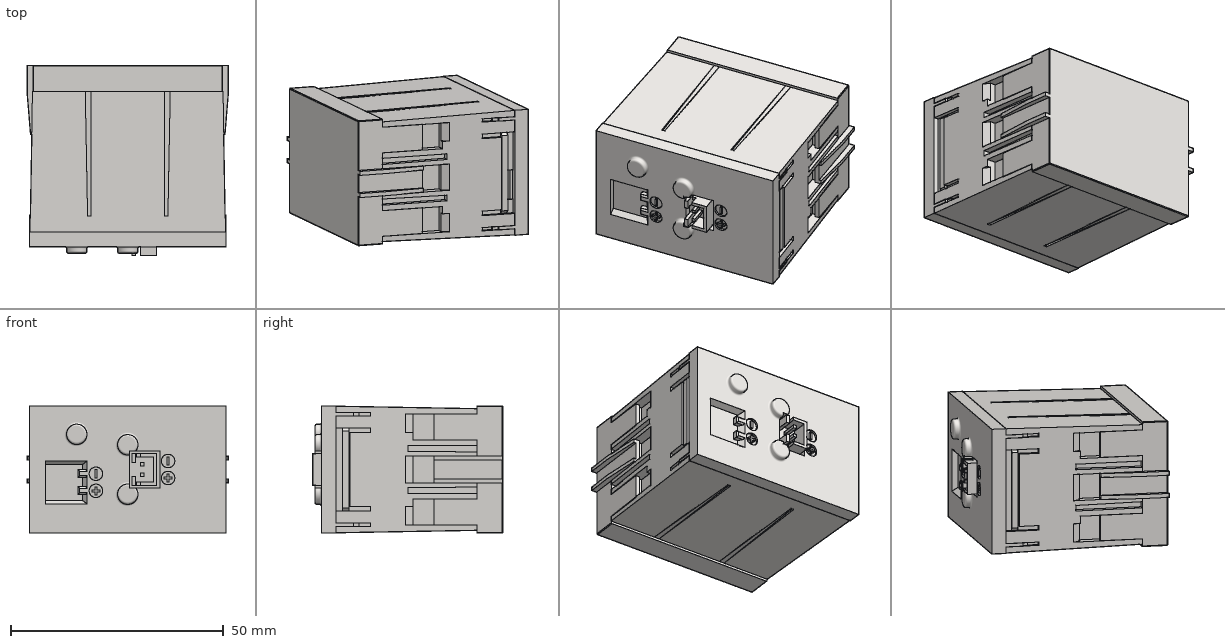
import cadquery as cq
import math


BODY_HEIGHT = 29.95
PLATE_WIDTH = 46.3
PLATE_THICKNESS = 3.45
BEZEL_END = 42.7
BEZEL_START = 36.55
BEZEL_WIDTH = 44.7
BEZEL_EDGE = 0.2
DRAFT = math.tan(math.radians(1.0))
BODY_FRONT_WIDTH = 46.0
BODY_FRONT_HEIGHT = 29.84
CONNECTOR_TIP = -2.1
OUTSIDE = 25.0

BEZEL_X = BEZEL_WIDTH / 2
BODY_TAPER = 2 * DRAFT * (BEZEL_START - PLATE_THICKNESS)
BODY_REAR_WIDTH = BODY_FRONT_WIDTH - BODY_TAPER
BODY_REAR_HEIGHT = BODY_FRONT_HEIGHT - BODY_TAPER

TONGUE_END = 26.46
WINDOW_FLOOR_END = 21.5
WINDOW_END = 19.8
WINDOW_FLOOR_X = 20.2
RAMP_FOOT_X = 21.65
TONGUE_THICKNESS = 1.1
TONGUE_UNDERCUT = 0.75
CENTRE_WINDOW_Z = 3.13
OUTER_WINDOW_Z = (6.92, 13.07)
OUTER_RAMP_Z = 8.67
RAIL_WIDTH = 0.95
RAIL_X = 23.7
RAIL_TIP_X = 22.9
RAIL_BEND_Y = 36.2
SLIT_Z = (4.13, 5.62)
SLIT_TIP_Z = 4.28
SLIT_END = 20.37
SLIT_FLOOR_X = 20.95

SNAP_FLOOR_X = 21.85
SNAP_REAR = 6.68
SNAP_HALF_Z = 9.77
SNAP_BAR_Y = (5.0, 6.5)
SNAP_BAR_X = 22.6
SNAP_BAR_SLOPE = 0.75
SNAP_SLOT_END = 11.5
INNER_SLOT_Z = 8.67
OUTER_SLOT_Z = (12.63, 13.42)
OUTER_SLOT_STEP_Y = 8.8
OUTER_SLOT_STEP_X = 22.5
KEY_END = 7.48
OPENING_Z = (-6.54, 0.49)
OPENING_RAMP_Y = (4.07, 4.8)
OPENING_STEP = 0.2
OPENING_DEPTH = 1.2

GROOVE_INNER_X = 8.67
GROOVE_WIDE_X = 10.0
GROOVE_NARROW_X = 9.45
GROOVE_END = 7.19

BUTTON_CENTRES = [(-12.0, 8.27), (0.0, 5.82), (0.0, -5.82)]
BUTTON_RADIUS = 2.4
BUTTON_HEIGHT = 1.55
BUTTON_FOOT = 0.45
BUTTON_ROUND = 0.5

POCKET_MOUTH = (-19.34, -9.56, -8.12, 2.03)
POCKET_FLOOR = (-19.34, -10.6, -7.3, 1.2)
POCKET_DEPTH = 1.5
CONTACT_X = (-11.73, -9.56)
CONTACT_HEIGHT = 1.82
CONTACT_BEVEL = 0.4
CONTACT_Z = [-0.93, -4.96]

SOCKET_PIT_X = (0.44, 7.55)
SOCKET_PIT_HALF_Z = 4.32
SOCKET_DEPTH = 1.8
SOCKET_X = (2.95, 6.8)
SOCKET_HALF_Z = 3.72
SOCKET_WALL = 0.78
LUG_X = (1.0, 1.86)
LUG_LENGTH = 2.1
SHELF_X = 2.1
PIN_SIZE = 0.8
PIN_X = 3.4
PIN_Z = 1.22

MARKS = [(-7.5, -1.0, False), (-7.5, -5.02, True), (9.49, 2.0, False), (9.49, -2.0, True)]
MARK_RADIUS = 1.58
MARK_DEPTH = 0.5
MARK_LENGTH = 1.9
MARK_STROKE = 0.45


def block(x_range, y_range, z_range):
    """Axis-aligned box from three (low, high) pairs."""
    size = [high - low for low, high in (x_range, y_range, z_range)]
    corner = (x_range[0], y_range[0], z_range[0])
    return cq.Workplane("XY").box(*size, centered=False).translate(corner)


def prism_z(points, z_range):
    """XY outline extruded over a Z range."""
    outline = cq.Workplane("XY").workplane(offset=z_range[0]).polyline(points).close()
    return outline.extrude(z_range[1] - z_range[0])


def prism_x(points, x_range):
    """YZ outline extruded over an X range."""
    outline = cq.Workplane("YZ").workplane(offset=x_range[0]).polyline(points).close()
    return outline.extrude(x_range[1] - x_range[0])


def frustum(start, start_y, end, end_y):
    """Loft along Y between two (x min, x max, z min, z max) rectangles."""
    wires = []
    for (x0, x1, z0, z1), y in ((start, start_y), (end, end_y)):
        corners = [(x0, y, z0), (x1, y, z0), (x1, y, z1), (x0, y, z1)]
        wires.append(cq.Wire.makePolygon([cq.Vector(*c) for c in corners], close=True))
    return cq.Workplane(obj=cq.Solid.makeLoft(wires, True))


def centred(width, height):
    return (-width / 2, width / 2, -height / 2, height / 2)


def both_z(shape):
    return shape.union(shape.mirror("XY"))


def both_x(shape):
    return shape.union(shape.mirror("YZ"))


def housing():
    half_height = BODY_HEIGHT / 2
    half_plate = PLATE_WIDTH / 2
    z_range = (-half_height, half_height)
    plate = block((-half_plate, half_plate), (0, PLATE_THICKNESS), z_range)
    shell = frustum(
        centred(BODY_FRONT_WIDTH, BODY_FRONT_HEIGHT), PLATE_THICKNESS,
        centred(BODY_REAR_WIDTH, BODY_REAR_HEIGHT), BEZEL_START,
    )
    bezel = block((-BEZEL_X, BEZEL_X), (BEZEL_START, BEZEL_END), z_range)
    bezel = bezel.edges("|Y").chamfer(BEZEL_EDGE).faces(">Y").edges().chamfer(BEZEL_EDGE)
    return plate.union(shell).union(bezel)


def window_cut(z_range, ramp_z_range):
    """Latch window: the spring tongue's recess, a deep well under its tip and a ramp out."""
    tongue = block((BEZEL_X, OUTSIDE), (TONGUE_END, BEZEL_START), z_range)
    well = block((WINDOW_FLOOR_X, OUTSIDE), (WINDOW_FLOOR_END, TONGUE_END), z_range)
    undercut = block(
        (WINDOW_FLOOR_X, BEZEL_X - TONGUE_THICKNESS),
        (TONGUE_END, TONGUE_END + TONGUE_UNDERCUT),
        z_range,
    )
    surface_x = BODY_FRONT_WIDTH / 2 - DRAFT * (WINDOW_END - PLATE_THICKNESS)
    ramp = prism_z(
        [
            (RAMP_FOOT_X, WINDOW_FLOOR_END),
            (surface_x, WINDOW_END),
            (OUTSIDE, WINDOW_END),
            (OUTSIDE, WINDOW_FLOOR_END),
        ],
        ramp_z_range,
    )
    return tongue.union(well).union(undercut).union(ramp)


def slit_cut():
    """Narrow slit that tapers away from the bezel."""
    outline = [
        (BEZEL_START, SLIT_Z[0]),
        (BEZEL_START, SLIT_Z[1]),
        (SLIT_END, SLIT_Z[1]),
        (SLIT_END, SLIT_TIP_Z),
    ]
    return prism_x(outline, (SLIT_FLOOR_X, OUTSIDE))


def snap_cut():
    """Snap recess with its bar left standing, and two slots at each end."""
    z_range = (-SNAP_HALF_Z, SNAP_HALF_Z)
    recess = block((SNAP_FLOOR_X, OUTSIDE), (PLATE_THICKNESS, SNAP_REAR), z_range)
    bar_outline = [
        (SNAP_FLOOR_X, -SNAP_HALF_Z),
        (SNAP_BAR_X, -SNAP_HALF_Z + SNAP_BAR_SLOPE),
        (SNAP_BAR_X, SNAP_HALF_Z - SNAP_BAR_SLOPE),
        (SNAP_FLOOR_X, SNAP_HALF_Z),
    ]
    bar = cq.Workplane("XZ", origin=(0, SNAP_BAR_Y[1], 0)).polyline(bar_outline).close()
    bar = bar.extrude(SNAP_BAR_Y[1] - SNAP_BAR_Y[0])
    inner_slot = block(
        (SNAP_FLOOR_X, OUTSIDE), (SNAP_REAR, SNAP_SLOT_END), (INNER_SLOT_Z, SNAP_HALF_Z)
    )
    outer_slot = prism_z(
        [
            (SNAP_FLOOR_X, SNAP_SLOT_END),
            (SNAP_FLOOR_X, OUTER_SLOT_STEP_Y),
            (OUTER_SLOT_STEP_X, OUTER_SLOT_STEP_Y),
            (OUTER_SLOT_STEP_X, KEY_END),
            (OUTSIDE, KEY_END),
            (OUTSIDE, SNAP_SLOT_END),
        ],
        OUTER_SLOT_Z,
    )
    return recess.cut(bar).union(both_z(inner_slot.union(outer_slot)))


def side_rails():
    """Pair of tapered rails along the edges of the centre tongue."""
    rail_root = BEZEL_X - TONGUE_THICKNESS
    outline = [
        (rail_root, BEZEL_END),
        (RAIL_X, BEZEL_END),
        (RAIL_X, RAIL_BEND_Y),
        (RAIL_TIP_X, TONGUE_END),
        (rail_root, TONGUE_END),
    ]
    return both_z(prism_z(outline, (CENTRE_WINDOW_Z - RAIL_WIDTH, CENTRE_WINDOW_Z)))


def side_keys():
    """Short keys, flush with the plate, that end inside the outer slots."""
    return both_z(block((SNAP_FLOOR_X, PLATE_WIDTH / 2), (0, KEY_END), OUTER_SLOT_Z))


def side_cuts():
    centre_z = (-CENTRE_WINDOW_Z, CENTRE_WINDOW_Z)
    centre = window_cut(centre_z, centre_z)
    outer = window_cut(OUTER_WINDOW_Z, (OUTER_RAMP_Z, OUTER_WINDOW_Z[1]))
    return centre.union(both_z(outer.union(slit_cut()))).union(snap_cut())


def opening_cut():
    """Sloped opening in the floor of the -X snap recess."""
    step_x = SNAP_FLOOR_X - OPENING_STEP
    deep_x = SNAP_FLOOR_X - OPENING_DEPTH
    outline = [
        (-SNAP_FLOOR_X, PLATE_THICKNESS),
        (-step_x, PLATE_THICKNESS),
        (-step_x, OPENING_RAMP_Y[0]),
        (-deep_x, OPENING_RAMP_Y[1]),
        (-deep_x, SNAP_BAR_Y[0]),
        (-SNAP_FLOOR_X, SNAP_BAR_Y[0]),
    ]
    return prism_z(outline, OPENING_Z)


def grooves():
    """Level-floored grooves that deepen toward the plate as the drafted face rises."""
    outline = [
        (GROOVE_INNER_X, BEZEL_START),
        (GROOVE_WIDE_X, BEZEL_START),
        (GROOVE_NARROW_X, GROOVE_END),
        (GROOVE_INNER_X, GROOVE_END),
    ]
    return both_z(both_x(prism_z(outline, (BODY_REAR_HEIGHT / 2, BODY_HEIGHT / 2))))


def button(x, z):
    """Round button with a flared foot and a rounded crown, revolved about Y."""
    foot_mid = BUTTON_FOOT * (1 - math.sqrt(0.5))
    crown_mid = BUTTON_ROUND * (1 - math.sqrt(0.5))
    crown_radius = BUTTON_RADIUS - BUTTON_ROUND
    profile = (
        cq.Workplane("XY")
        .moveTo(0, PLATE_THICKNESS / 2)
        .lineTo(BUTTON_RADIUS + BUTTON_FOOT, PLATE_THICKNESS / 2)
        .lineTo(BUTTON_RADIUS + BUTTON_FOOT, 0)
        .threePointArc((BUTTON_RADIUS + foot_mid, -foot_mid), (BUTTON_RADIUS, -BUTTON_FOOT))
        .lineTo(BUTTON_RADIUS, BUTTON_ROUND - BUTTON_HEIGHT)
        .threePointArc(
            (BUTTON_RADIUS - crown_mid, crown_mid - BUTTON_HEIGHT), (crown_radius, -BUTTON_HEIGHT)
        )
        .lineTo(0, -BUTTON_HEIGHT)
        .close()
    )
    return profile.revolve(360, (0, 0, 0), (0, 1, 0)).translate((x, 0, z))


def terminal_contact(z):
    """Contact block standing on the pocket floor, with three front edges bevelled."""
    half = CONTACT_HEIGHT / 2
    root = block(CONTACT_X, (CONTACT_BEVEL, POCKET_DEPTH), (z - half, z + half))
    base = (CONTACT_X[0], CONTACT_X[1], z - half, z + half)
    tip_half = half - CONTACT_BEVEL
    tip = (CONTACT_X[0] + CONTACT_BEVEL, CONTACT_X[1], z - tip_half, z + tip_half)
    return root.union(frustum(base, CONTACT_BEVEL, tip, 0))


def socket():
    """U-shaped shroud, two lugs and two pins."""
    y_range = (CONNECTOR_TIP, SOCKET_DEPTH)
    inner_z = SOCKET_HALF_Z - SOCKET_WALL
    shroud = block(SOCKET_X, y_range, (-SOCKET_HALF_Z, SOCKET_HALF_Z))
    shroud = shroud.cut(block((SOCKET_X[0], SOCKET_X[1] - SOCKET_WALL), y_range, (-inner_z, inner_z)))
    lug = block(LUG_X, y_range, (SOCKET_HALF_Z - LUG_LENGTH, SOCKET_HALF_Z))
    shelf = block((SHELF_X, SOCKET_X[0]), (0, SOCKET_DEPTH), (inner_z, SOCKET_HALF_Z))
    half_pin = PIN_SIZE / 2
    pin = block((PIN_X - half_pin, PIN_X + half_pin), y_range, (PIN_Z - half_pin, PIN_Z + half_pin))
    return shroud.union(both_z(lug.union(shelf).union(pin)))


def mark_cut(x, z, is_plus):
    """Sunken disc around a raised minus or plus sign."""
    half_length = MARK_LENGTH / 2
    half_stroke = MARK_STROKE / 2
    depth = (0, MARK_DEPTH)
    upright = block((-half_stroke, half_stroke), depth, (-half_length, half_length))
    disc = cq.Workplane("XZ").circle(MARK_RADIUS).extrude(-MARK_DEPTH).cut(upright)
    if is_plus:
        disc = disc.cut(block((-half_length, half_length), depth, (-half_stroke, half_stroke)))
    return disc.translate((x, 0, z))


def add_terminal_face(part):
    part = part.cut(frustum(POCKET_MOUTH, 0, POCKET_FLOOR, POCKET_DEPTH))
    for z in CONTACT_Z:
        part = part.union(terminal_contact(z))
    for x, z in BUTTON_CENTRES:
        part = part.union(button(x, z))
    pit_z = (-SOCKET_PIT_HALF_Z, SOCKET_PIT_HALF_Z)
    part = part.cut(block(SOCKET_PIT_X, (CONNECTOR_TIP, SOCKET_DEPTH), pit_z))
    part = part.union(socket())
    for mark in MARKS:
        part = part.cut(mark_cut(*mark))
    return part


body = housing().cut(both_x(side_cuts())).union(both_x(side_rails().union(side_keys())))
body = body.cut(opening_cut()).cut(grooves())
result = add_terminal_face(body)